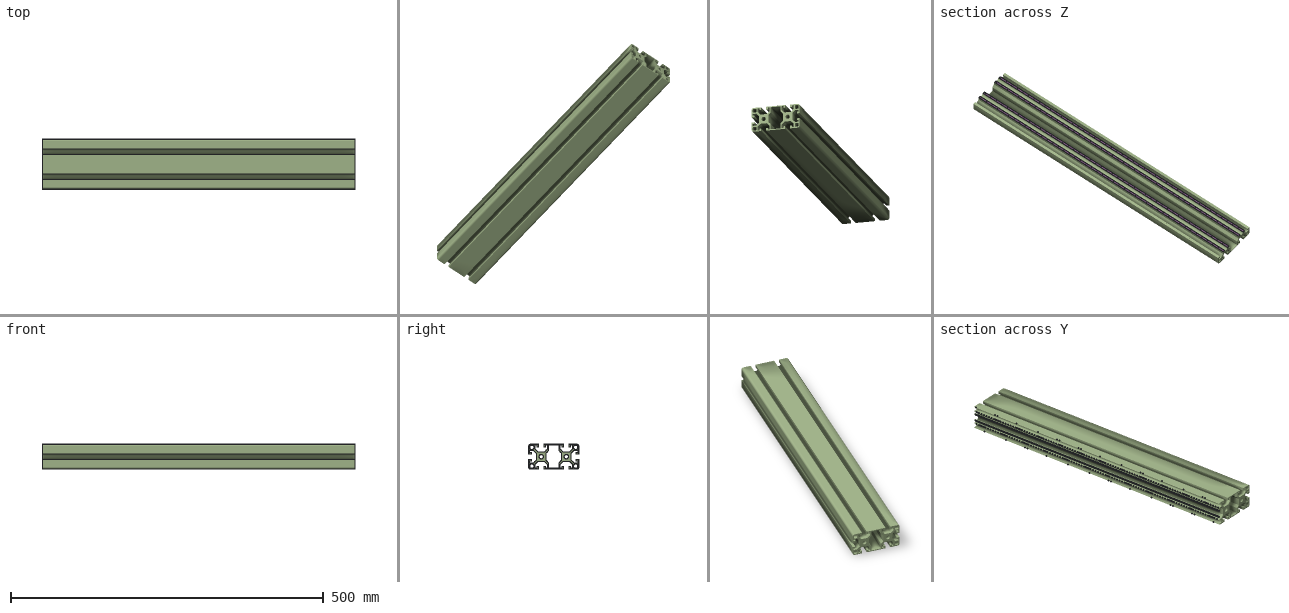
import cadquery as cq

LENGTH = 500.0
MODULE = 40.0
WIDTH = 2 * MODULE
HEIGHT = MODULE
HALF_MODULE = MODULE / 2
CORNER_RADIUS = 3.5

SLOT_OPENING = 8.2
SLOT_INNER_WIDTH = 19.9
SLOT_DEPTH = 12.25
HOOK_DEPTH = 4.5
HOOK_WIDTH = 3.0
LIP_THICKNESS = 1.6
ARM_OFFSET = 2.4

CORE_HALF = HALF_MODULE - SLOT_DEPTH
BORE_DIAMETER = 6.8

CORNER_SKIN = 1.8
CORNER_HOLLOW_SIZE = 6.3
CORNER_HOLLOW_RADIUS = 1.8

SKIN = LIP_THICKNESS
SIDE_WALL = 1.7
HOLLOW_CHAMFER_OFFSET = 2.0

MODULE_CENTRES = (-HALF_MODULE, HALF_MODULE)
SIGNS = (-1, 1)


def prism(profile):
    """Extrude a YZ profile over the full length."""
    return profile.extrude(LENGTH / 2, both=True)


def outer_body():
    body = prism(cq.Workplane("YZ").rect(WIDTH, HEIGHT))
    return body.edges("|X").fillet(CORNER_RADIUS)


def slot_cutter():
    """T-slot opening towards +Z, for a module centred on the X axis."""
    neck = SLOT_OPENING / 2
    hook = neck + HOOK_WIDTH
    wall = SLOT_INNER_WIDTH / 2
    hook_z = HALF_MODULE - HOOK_DEPTH
    lip_z = HALF_MODULE - LIP_THICKNESS
    half_outline = [
        (neck, HALF_MODULE),
        (neck, hook_z),
        (hook, hook_z),
        (hook, lip_z),
        (wall, lip_z),
        (wall, wall + ARM_OFFSET),
        (CORE_HALF - ARM_OFFSET, CORE_HALF),
    ]
    mirrored = [(-y, z) for y, z in reversed(half_outline)]
    return prism(cq.Workplane("YZ").polyline(half_outline + mirrored).close())


def module_slots(side):
    """Top, bottom and outer-end slots of the module on the given Y side."""
    slot = slot_cutter()
    slots = cq.Workplane("YZ")
    for angle in (0, 180, -90 * side):
        turned = slot.rotate((0, 0, 0), (1, 0, 0), angle)
        slots = slots.add(turned.translate((0, side * HALF_MODULE, 0)))
    return slots.combine()


def core_bores():
    centres = [(y, 0) for y in MODULE_CENTRES]
    return prism(cq.Workplane("YZ").pushPoints(centres).circle(BORE_DIAMETER / 2))


def corner_hollows():
    inset = CORNER_SKIN + CORNER_HOLLOW_SIZE / 2
    spacing_y = WIDTH - 2 * inset
    spacing_z = HEIGHT - 2 * inset
    hollows = prism(
        cq.Workplane("YZ")
        .rarray(spacing_y, spacing_z, 2, 2)
        .rect(CORNER_HOLLOW_SIZE, CORNER_HOLLOW_SIZE)
    )
    return hollows.edges("|X").fillet(CORNER_HOLLOW_RADIUS)


def central_hollow():
    """Chamber that widens from the skin walls to the core faces through 45 degree flanks."""
    wall_y = HALF_MODULE - SLOT_INNER_WIDTH / 2 - SIDE_WALL
    core_y = HALF_MODULE - CORE_HALF
    roof_z = HALF_MODULE - SKIN
    arm_z = HALF_MODULE - wall_y - HOLLOW_CHAMFER_OFFSET
    quarter = [
        (wall_y, roof_z),
        (wall_y, arm_z),
        (core_y, CORE_HALF - HOLLOW_CHAMFER_OFFSET),
    ]
    right = quarter + [(y, -z) for y, z in reversed(quarter)]
    left = [(-y, z) for y, z in reversed(right)]
    return prism(cq.Workplane("YZ").polyline(right + left).close())


result = outer_body()
for side in SIGNS:
    result = result.cut(module_slots(side))
result = result.cut(core_bores()).cut(corner_hollows()).cut(central_hollow())